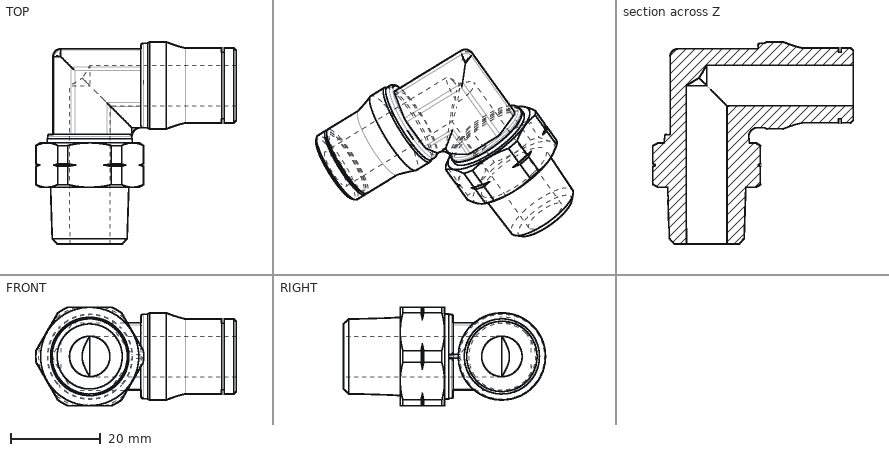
import cadquery as cq
import math


bore_radius = 4.5
drill_tip_angle = 118.0

body_half_height = 7.5
outer_ridge_offset = 8.55
outer_flat_edge = 3.9
inner_flat_edge = 4.28
inner_ridge_offset = 9.35
ridge_radius = 2.0
flat_edge_radius = 1.0
corner_radius = 2.15

web_half_thickness = 0.45
web_radius = 2.0
web_edge_radius = 0.25

sleeve_start = 11.4
rim_end = 12.85
shoulder_start = 13.35
taper_start = 17.0
taper_end = 21.25
groove_start = 29.4
groove_width = 0.55
sleeve_end = 32.62
rim_radius = 9.45
rim_rounding = 0.6
shoulder_radius = 9.7
barrel_radius = 8.35
taper_hollow = 0.1
groove_radius = 7.42
sleeve_chamfer = 0.55

collar_start = 10.85
collar_step = 11.8
hex_start = 12.75
hex_end = 22.7
stem_end = 35.3
ring_radius = 9.35
ring_rounding = 0.4
collar_radius = 9.5

hex_across_flats = 22.0
hex_corner_radius = 12.0
hex_face_radius = 10.95
hex_chamfer_angle = 30.0
notch_radius = 11.45
notch_half_width = 0.292

stem_root_radius = 8.75
stem_tip_radius = 8.35
stem_face_radius = 7.25
stem_chamfer_length = 1.2


def point_on_circle(centre, radius, angle):
    """Point on a circle at an angle in degrees."""
    turn = math.radians(angle)
    return (centre[0] + radius * math.cos(turn), centre[1] + radius * math.sin(turn))


def revolve_about_x(profile):
    return profile.close().revolve(360, (0, 0, 0), (1, 0, 0))


def revolve_about_y(profile):
    return profile.close().revolve(360, (0, 0, 0), (0, 1, 0))


def body_section():
    """Rounded six-sided section: outer ridge at -X, blunt inner ridge at +X."""
    upper = [
        (-outer_flat_edge, body_half_height),
        (inner_flat_edge, body_half_height),
        (inner_ridge_offset, web_half_thickness),
    ]
    lower = [(x, -z) for x, z in reversed(upper)]
    outer_ridge = (-outer_ridge_offset, 0)
    return (
        cq.Sketch()
        .polygon([outer_ridge] + upper + lower + [outer_ridge])
        .vertices("<X").fillet(ridge_radius)
        .reset().vertices("<Y or >Y").fillet(flat_edge_radius)
    )


def elbow_body():
    """Two legs mitred on the plane x = -y, with the outer corner rounded."""
    leg_reach = sleeve_start + rim_rounding
    leg = (
        cq.Workplane("XZ", origin=(0, leg_reach, 0))
        .placeSketch(body_section())
        .extrude(2 * leg_reach)
    )
    stem_side = (
        cq.Workplane("XY")
        .polyline([(-leg_reach, leg_reach), (leg_reach, -leg_reach), (-leg_reach, -leg_reach)])
        .close()
        .extrude(body_half_height, both=True)
    )
    stem_leg = leg.intersect(stem_side)
    sleeve_leg = stem_leg.rotate((0, 0, 0), (1, -1, 0), 180)
    body = stem_leg.union(sleeve_leg)

    corner_centre = outer_ridge_offset - corner_radius
    corner_block = (
        cq.Workplane("XY")
        .center(-corner_centre, corner_centre)
        .rect(-leg_reach, leg_reach, centered=False)
        .extrude(body_half_height, both=True)
    )
    flank_slope = body_half_height / (outer_ridge_offset - outer_flat_edge)
    tip_height = corner_radius * flank_slope
    tip_section = (
        cq.Sketch()
        .polygon([(0, -tip_height), (-corner_radius, 0), (0, tip_height), (0, -tip_height)])
        .vertices("<X").fillet(ridge_radius)
    )
    rounded_tip = (
        cq.Workplane("XZ")
        .placeSketch(tip_section)
        .revolve(90, (0, 0, 0), (0, -1, 0))
        .translate((-corner_centre, corner_centre, 0))
    )
    return body.cut(corner_block).union(rounded_tip)


def corner_web():
    """Thin web filling the inside corner with a concave edge."""
    root = inner_flat_edge
    reach = hex_start
    centre = (sleeve_start, -sleeve_start)
    near = sleeve_start - web_radius
    return (
        cq.Workplane("XY")
        .moveTo(root, -root)
        .lineTo(reach, -root)
        .lineTo(reach, -near)
        .lineTo(sleeve_start, -near)
        .threePointArc(point_on_circle(centre, web_radius, 135), (near, -sleeve_start))
        .lineTo(near, -reach)
        .lineTo(root, -reach)
        .close()
        .extrude(web_half_thickness, both=True)
    )


def sleeve():
    groove_end = groove_start + groove_width
    taper_middle = (
        (taper_start + taper_end) / 2,
        (shoulder_radius + barrel_radius) / 2 - taper_hollow,
    )
    rounding_centre = (sleeve_start + rim_rounding, rim_radius - rim_rounding)
    profile = (
        cq.Workplane("XY")
        .moveTo(sleeve_start, 0)
        .lineTo(sleeve_start, rim_radius - rim_rounding)
        .threePointArc(
            point_on_circle(rounding_centre, rim_rounding, 135),
            (sleeve_start + rim_rounding, rim_radius),
        )
        .lineTo(rim_end, rim_radius)
        .lineTo(shoulder_start, shoulder_radius)
        .lineTo(taper_start, shoulder_radius)
        .threePointArc(taper_middle, (taper_end, barrel_radius))
        .lineTo(groove_start, barrel_radius)
        .lineTo(groove_start, groove_radius)
        .lineTo(groove_end, groove_radius)
        .lineTo(groove_end, barrel_radius)
        .lineTo(sleeve_end - sleeve_chamfer, barrel_radius)
        .lineTo(sleeve_end, barrel_radius - sleeve_chamfer)
        .lineTo(sleeve_end, 0)
    )
    return revolve_about_x(profile)


def collar():
    rounding_centre = (ring_radius - ring_rounding, -collar_start - ring_rounding)
    profile = (
        cq.Workplane("XY")
        .moveTo(0, -collar_start)
        .lineTo(ring_radius - ring_rounding, -collar_start)
        .threePointArc(
            point_on_circle(rounding_centre, ring_rounding, 45),
            (ring_radius, -collar_start - ring_rounding),
        )
        .lineTo(ring_radius, -collar_step)
        .lineTo(collar_radius, -collar_step)
        .lineTo(collar_radius, -hex_start)
        .lineTo(0, -hex_start)
    )
    return revolve_about_y(profile)


def hexagon():
    """Hexagon with turned corners, chamfered ends and a V notch round the middle."""
    across_corners = hex_across_flats / math.cos(math.radians(30))
    prism = (
        cq.Workplane("XZ", origin=(0, -hex_start, 0))
        .polygon(6, across_corners)
        .extrude(hex_end - hex_start)
    )
    chamfer_width = hex_corner_radius - hex_face_radius
    chamfer_length = chamfer_width * math.tan(math.radians(hex_chamfer_angle))
    notch_place = (hex_start + hex_end) / 2
    envelope = revolve_about_y(
        cq.Workplane("XY").polyline([
            (0, -hex_start),
            (hex_face_radius, -hex_start),
            (hex_corner_radius, -hex_start - chamfer_length),
            (hex_corner_radius, -notch_place + notch_half_width),
            (notch_radius, -notch_place),
            (hex_corner_radius, -notch_place - notch_half_width),
            (hex_corner_radius, -hex_end + chamfer_length),
            (hex_face_radius, -hex_end),
            (0, -hex_end),
        ])
    )
    return prism.intersect(envelope)


def stem():
    return revolve_about_y(
        cq.Workplane("XY").polyline([
            (0, -hex_end),
            (stem_root_radius, -hex_end),
            (stem_tip_radius, -stem_end + stem_chamfer_length),
            (stem_face_radius, -stem_end),
            (0, -stem_end),
        ])
    )


def bores():
    """Drilled bores from both open ends, each ending in a drill tip past the other axis."""
    tip_length = bore_radius / math.tan(math.radians(drill_tip_angle / 2))
    stem_bore = revolve_about_y(
        cq.Workplane("XY").polyline([
            (0, -stem_end),
            (bore_radius, -stem_end),
            (bore_radius, 0),
            (0, tip_length),
        ])
    )
    sleeve_bore = revolve_about_x(
        cq.Workplane("XY").polyline([
            (sleeve_end, 0),
            (sleeve_end, bore_radius),
            (0, bore_radius),
            (-tip_length, 0),
        ])
    )
    return stem_bore.union(sleeve_bore)


result = (
    elbow_body()
    .union(corner_web().edges("%CIRCLE").fillet(web_edge_radius))
    .union(sleeve())
    .union(collar())
    .union(hexagon())
    .union(stem())
    .cut(bores())
)